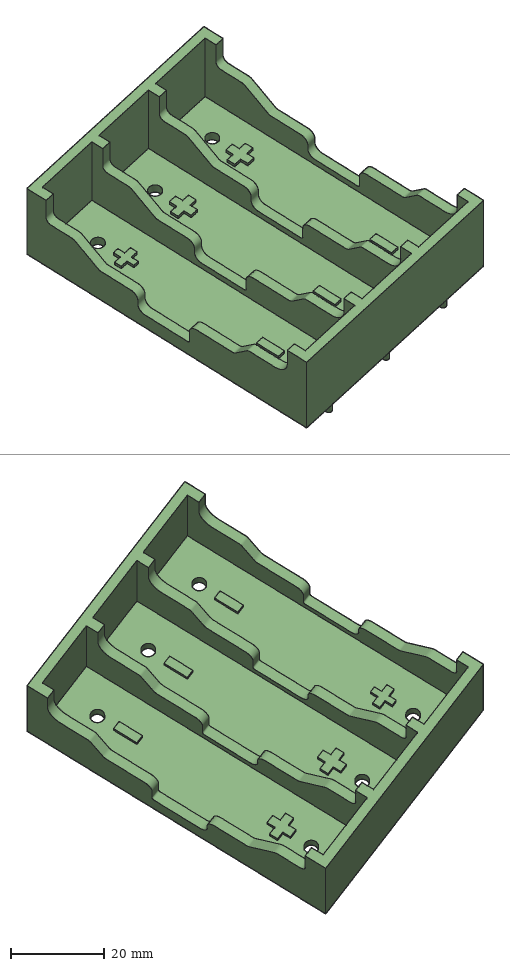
import cadquery as cq
import math


length = 77.7
width = 59.7
height = 21.45
end_wall = 2.3
side_wall = 2.4
floor = 2.4

bay_count = 3
bay_length = length - 2 * end_wall
bay_width = (width - (bay_count + 1) * side_wall) / bay_count
bay_pitch = bay_width + side_wall

opening_half = 33.5
left_ledge_z = 14.4
left_step_z = 9.4
right_step_z = 9.7
right_ledge_z = 13.45
notch_z = 4.1
notch_left = -8.0
notch_right = 6.3
left_slope_top = -25.9
left_slope_foot = -18.65
right_slope_foot = 18.7
right_slope_top = 22.6
large_round = 3.5
broad_round = 2.0
medium_round = 1.5
small_round = 1.0
tiny_round = 0.5

contact_pitch = 19.3
hole_diameter = 3.2
hole_x = 27.8
pin_diameter = 1.6
pin_length = 5.3
pin_x = 36.3

mark_height = 0.8
mark_x = 20.0
mark_span = 6.05
mark_bar = 2.1
small_plus_x = -20.2
small_plus_span_x = 5.7
small_plus_span_y = 5.4
small_plus_bar_x = 1.9
small_plus_bar_y = 1.5


def row_positions(pitch):
    """Y of each bay's item, from front to back, centred on the tray."""
    return [(i - (bay_count - 1) / 2) * pitch for i in range(bay_count)]


def mirrored_pairs(x, pitch):
    """Points at -x and +x in every bay row."""
    return [(side * x, y) for y in row_positions(pitch) for side in (-1, 1)]


def rounded_outline(plane, corners):
    """Closed outline through (x, z, radius) corners, each rounded by a tangent arc."""
    outline = cq.Workplane(plane)
    for i, (x, z, radius) in enumerate(corners):
        corner = cq.Vector(x, z)
        back = (cq.Vector(*corners[i - 1][:2]) - corner).normalized()
        ahead = (cq.Vector(*corners[(i + 1) % len(corners)][:2]) - corner).normalized()
        half_angle = back.getAngle(ahead) / 2
        setback = radius / math.tan(half_angle)
        bisector = (back + ahead).normalized()
        start = corner + back * setback
        middle = corner + bisector * (radius / math.sin(half_angle) - radius)
        end = corner + ahead * setback
        outline = outline.moveTo(start.x, start.y) if i == 0 else outline.lineTo(start.x, start.y)
        if radius > 0:
            outline = outline.threePointArc((middle.x, middle.y), (end.x, end.y))
    return outline.close()


def wall_opening():
    """Stepped cutter that lowers the side walls and dividers between the end walls."""
    corners = [
        (-opening_half, height, 0),
        (-opening_half, left_ledge_z, medium_round),
        (left_slope_top, left_ledge_z, broad_round),
        (left_slope_foot, left_step_z, small_round),
        (notch_left, left_step_z, broad_round),
        (notch_left, notch_z, broad_round),
        (notch_right, notch_z, tiny_round),
        (notch_right, right_step_z, broad_round),
        (right_slope_foot, right_step_z, medium_round),
        (right_slope_top, right_ledge_z, small_round),
        (opening_half, right_ledge_z, large_round),
        (opening_half, height, 0),
    ]
    return rounded_outline("XZ", corners).extrude(width / 2, both=True)


def bar(x, y, size_x, size_y):
    """Raised bar standing on the bay floor."""
    return cq.Workplane("XY", origin=(x, y, floor)).rect(size_x, size_y).extrude(mark_height)


def plus(x, y, span_x, span_y, bar_x, bar_y):
    return bar(x, y, span_x, bar_y).union(bar(x, y, bar_x, span_y))


tray = cq.Workplane("XY").box(length, width, height, centered=(True, True, False))
bays = (
    cq.Workplane("XY", origin=(0, 0, floor))
    .pushPoints([(0, y) for y in row_positions(bay_pitch)])
    .rect(bay_length, bay_width)
    .extrude(height - floor)
)
holes = (
    cq.Workplane("XY")
    .pushPoints(mirrored_pairs(hole_x, contact_pitch))
    .circle(hole_diameter / 2)
    .extrude(floor)
)
pins = (
    cq.Workplane("XY")
    .pushPoints(mirrored_pairs(pin_x, contact_pitch))
    .circle(pin_diameter / 2)
    .extrude(-pin_length)
)

result = tray.cut(bays).cut(wall_opening()).cut(holes).union(pins)

for bay, bay_y in enumerate(row_positions(bay_pitch)):
    result = result.union(bar(mark_x, bay_y, mark_span, mark_bar))
    if bay == 0:
        mark = plus(
            small_plus_x, bay_y, small_plus_span_x, small_plus_span_y, small_plus_bar_x, small_plus_bar_y
        )
    else:
        mark = plus(-mark_x, bay_y, mark_span, mark_span, mark_bar, mark_bar)
    result = result.union(mark)